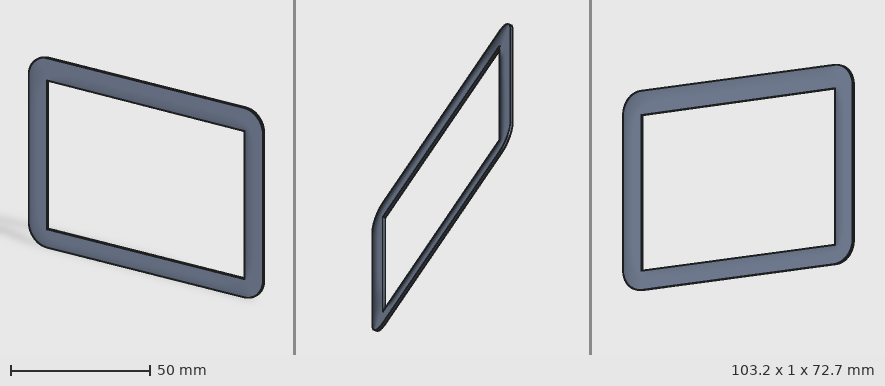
import cadquery as cq

width = 103.2
height = 72.7
thickness = 1.0
corner_radius = 8.2

left_border = 8.0
right_border = 8.2
bottom_border = 7.0
top_border_left = 8.6
top_border_right = 8.9

window_left = -width / 2 + left_border
window_right = width / 2 - right_border
window_bottom = -height / 2 + bottom_border
window_top_left = height / 2 - top_border_left
window_top_right = height / 2 - top_border_right


def rounded_plate():
    plate = cq.Workplane("XZ").rect(width, height).extrude(thickness / 2, both=True)
    return plate.edges("|Y").fillet(corner_radius)


def window():
    corners = [
        (window_left, window_bottom),
        (window_right, window_bottom),
        (window_right, window_top_right),
        (window_left, window_top_left),
    ]
    return cq.Workplane("XZ").polyline(corners).close().extrude(thickness, both=True)


result = rounded_plate().cut(window())